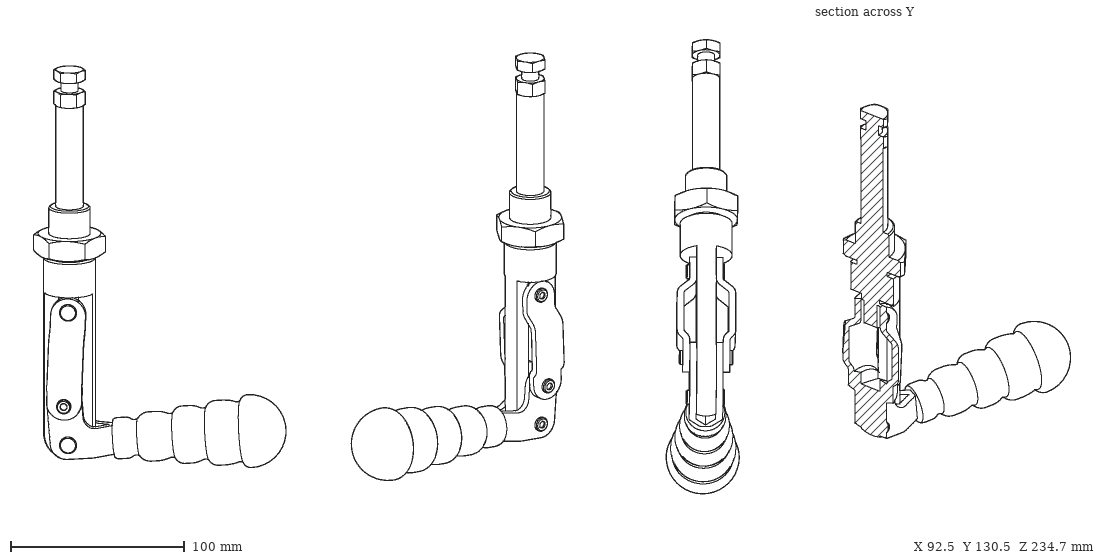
import cadquery as cq
import math

SWING = -29.0

TOTAL_HEIGHT = 234.8
HEX_ACROSS_FLATS = 16.0
HEAD_BOTTOM = 228.5
SHANK_DIAMETER = 9.9
JAM_NUT_TOP = 222.1
JAM_NUT_BOTTOM = 213.7
PLUNGER_DIAMETER = 16.0
PLUNGER_BOTTOM = 98.2
PLUNGER_FLATS = 11.0
TONGUE_WIDTH = 8.0
SMALL_HEX_CHAMFER = 0.5
HEX_HALF_SECTOR = 30

NECK_DIAMETER = 24.0
NECK_TOP = 153.0
NECK_CHAMFER = 1.0
NUT_ACROSS_FLATS = 36.2
NUT_TOP = 137.0
NUT_BOTTOM = 125.0
NUT_CHAMFER = 1.5
UNDERCUT_DIAMETER = 21.5
COLLAR_DIAMETER = 30.0
COLLAR_TOP = 122.3
COLLAR_BOTTOM = 102.4
WEB_WIDTH = 11.3
BODY_BOTTOM = 2.5

SPINDLE_JOINT = (0, 92.0)
LINK_JOINT = (-2.0, 37.0)
PIVOT = (0, 13.0)

SHEET = 4.0
BEND_RADIUS = 1.9
LINK_END_RADIUS = 10.0
LINK_END_OFFSET = 1.9
LINK_UPPER_FACE = WEB_WIDTH / 2 + SHEET
LINK_MIDDLE_FACE = 17.0
LINK_LOWER_FACE = LINK_UPPER_FACE + SHEET
UPPER_CRANK = (82.7, 76.3)
LOWER_CRANK = (48.0, 44.4)

HANDLE_TILT = 4.5
ARM_HEIGHT = 17.1
PLATE_FRONT = -10.3
PLATE_CORNER_RADIUS = 9.5
LOBE_RADIUS = 10.0
LOBE_HEIGHT = 23.0
ARM_FILLET = 7.5
PRONG_BEND = 13.1
PRONG_ANGLE = 28.6

GRIP_START = 26.0
GRIP_FACE_RADIUS = 11.3
RIDGES = [(31.0, 12.0), (48.8, 14.3), (68.5, 16.7), (88.0, 18.8)]
CREST_HALF_WIDTH = 2.3
VALLEYS = [(38.3, 10.3), (59.0, 12.7), (78.2, 14.8), (98.2, 17.4)]
VALLEY_HALF_WIDTH = 1.9
VALLEY_DEPTH = 0.5
BALL_CENTRE = 104.5
BALL_RADIUS = 21.1

HEAD_DIAMETER = 9.9
HEAD_HEIGHT = 1.0
TAIL_DIAMETER = 8.2
TAIL_HEIGHT = 1.9
DIMPLE_DIAMETER = 4.0
DIMPLE_DEPTH = 1.2
RIVET_CHAMFER = 0.59


def cylinder(diameter, bottom, top):
    return cq.Workplane("XY").workplane(offset=bottom).circle(diameter / 2).extrude(top - bottom)


def hexagon(across_flats, bottom, top, chamfer):
    """Hexagon with two flats square to X and its corners turned down at both ends."""
    across_corners = across_flats / math.cos(math.radians(HEX_HALF_SECTOR))
    prism = (
        cq.Workplane("XY")
        .workplane(offset=bottom)
        .polygon(6, across_corners)
        .extrude(top - bottom)
        .rotate((0, 0, 0), (0, 0, 1), HEX_HALF_SECTOR)
    )
    inset = (across_corners - across_flats) / 2
    turned = cylinder(across_corners, bottom, top).faces("<Z or >Z").chamfer(chamfer, inset)
    return prism.intersect(turned)


def make_spindle():
    head = hexagon(HEX_ACROSS_FLATS, HEAD_BOTTOM, TOTAL_HEIGHT, SMALL_HEX_CHAMFER)
    shank = cylinder(SHANK_DIAMETER, JAM_NUT_TOP, HEAD_BOTTOM)
    jam_nut = hexagon(HEX_ACROSS_FLATS, JAM_NUT_BOTTOM, JAM_NUT_TOP, SMALL_HEX_CHAMFER)
    plunger = cylinder(PLUNGER_DIAMETER, COLLAR_BOTTOM, JAM_NUT_BOTTOM)
    flats = cylinder(PLUNGER_DIAMETER, PLUNGER_BOTTOM, COLLAR_BOTTOM).intersect(slab(PLUNGER_FLATS))
    tongue_bottom = SPINDLE_JOINT[1] - LINK_END_RADIUS
    tongue = cylinder(PLUNGER_DIAMETER, tongue_bottom, PLUNGER_BOTTOM).intersect(slab(TONGUE_WIDTH))
    return plunger.union(flats).union(tongue).union(jam_nut).union(shank).union(head)


def slab(width):
    """Upright slab below the collar, centred on the axis."""
    return cq.Workplane("XY").box(width, COLLAR_DIAMETER, COLLAR_BOTTOM, centered=(True, True, False))


def make_body():
    neck = cylinder(NECK_DIAMETER, NUT_BOTTOM, NECK_TOP).faces(">Z").chamfer(NECK_CHAMFER)
    nut = hexagon(NUT_ACROSS_FLATS, NUT_BOTTOM, NUT_TOP, NUT_CHAMFER)
    undercut = cylinder(UNDERCUT_DIAMETER, COLLAR_TOP, NUT_BOTTOM)
    collar = cylinder(COLLAR_DIAMETER, COLLAR_BOTTOM, COLLAR_TOP)

    ball_centre = BODY_BOTTOM + COLLAR_DIAMETER / 2
    ball = cq.Workplane("XY").sphere(COLLAR_DIAMETER / 2).translate((0, 0, ball_centre))
    bar = cylinder(COLLAR_DIAMETER, ball_centre, COLLAR_BOTTOM).union(ball)
    bore = cylinder(PLUNGER_DIAMETER, LINK_JOINT[1], COLLAR_BOTTOM)
    web = bar.intersect(slab(WEB_WIDTH)).cut(bore)
    return web.union(collar).union(undercut).union(neck).union(nut)


def round_bend(sheet, direction, point, radius):
    """Rounds the edge along a direction that lies nearest to a point."""
    corner = cq.selectors.NearestToPointSelector(point)
    return sheet.edges(direction).edges(corner).fillet(radius)


def make_link():
    """Link on the +X side: sheet cranked outwards, with round ends, leaning from joint to joint."""
    run = SPINDLE_JOINT[0] - LINK_JOINT[0]
    rise = SPINDLE_JOINT[1] - LINK_JOINT[1]
    length = math.hypot(run, rise)
    top_y, top_z = SPINDLE_JOINT
    sheet_top = top_z - LINK_END_OFFSET + LINK_END_RADIUS
    sheet_bottom = top_z - length + LINK_END_OFFSET - LINK_END_RADIUS

    upper_bend = math.atan2(LINK_MIDDLE_FACE - LINK_UPPER_FACE, UPPER_CRANK[0] - UPPER_CRANK[1])
    lower_bend = math.atan2(LINK_MIDDLE_FACE - LINK_LOWER_FACE, LOWER_CRANK[0] - LOWER_CRANK[1])
    upper_shift = SHEET * math.tan(upper_bend / 2)
    lower_shift = SHEET * math.tan(lower_bend / 2)
    cranks = [
        (LINK_UPPER_FACE, UPPER_CRANK[0], -upper_shift),
        (LINK_MIDDLE_FACE, UPPER_CRANK[1], -upper_shift),
        (LINK_MIDDLE_FACE, LOWER_CRANK[0], lower_shift),
        (LINK_LOWER_FACE, LOWER_CRANK[1], lower_shift),
    ]
    outer = [(LINK_UPPER_FACE, sheet_top)]
    outer += [(x, z) for x, z, _ in cranks]
    outer += [(LINK_LOWER_FACE, sheet_bottom)]
    inner = [(LINK_UPPER_FACE - SHEET, sheet_top)]
    inner += [(x - SHEET, z + shift) for x, z, shift in cranks]
    inner += [(LINK_LOWER_FACE - SHEET, sheet_bottom)]
    sheet = cq.Workplane("XZ").polyline(outer + inner[::-1]).close().extrude(LINK_END_RADIUS, both=True)
    for x, z, shift in cranks:
        bulges_out = x == LINK_MIDDLE_FACE
        outer_radius = BEND_RADIUS + SHEET if bulges_out else BEND_RADIUS
        inner_radius = BEND_RADIUS if bulges_out else BEND_RADIUS + SHEET
        sheet = round_bend(sheet, "|Y", (x, 0, z), outer_radius)
        sheet = round_bend(sheet, "|Y", (x - SHEET, 0, z + shift), inner_radius)
    outline = (
        cq.Workplane("YZ")
        .center(0, (sheet_top + sheet_bottom) / 2)
        .slot2D(sheet_top - sheet_bottom, 2 * LINK_END_RADIUS, 90)
        .extrude(COLLAR_DIAMETER)
    )
    lean = math.degrees(math.atan2(run, rise))
    return (
        sheet.intersect(outline)
        .translate((0, top_y, 0))
        .rotate((0, top_y, top_z), (1, top_y, top_z), -lean)
    )


def place_on_handle(shape):
    """Moves a shape built round the origin to the pivot and tilts it with the handle."""
    return shape.rotate((0, 0, 0), (1, 0, 0), HANDLE_TILT).translate((0, *PIVOT))


def make_handle_side():
    """Handle plate on the +X side, with the prong that turns in to the grip."""
    half = ARM_HEIGHT / 2
    lobe_back = PLATE_FRONT + 2 * LOBE_RADIUS
    outline = (
        cq.Workplane("YZ")
        .moveTo(GRIP_START, -half)
        .lineTo(PLATE_FRONT + PLATE_CORNER_RADIUS, -half)
        .radiusArc((PLATE_FRONT, PLATE_CORNER_RADIUS - half), PLATE_CORNER_RADIUS)
        .lineTo(PLATE_FRONT, LOBE_HEIGHT)
        .radiusArc((lobe_back, LOBE_HEIGHT), LOBE_RADIUS)
        .lineTo(lobe_back, half + ARM_FILLET)
        .radiusArc((lobe_back + ARM_FILLET, half), -ARM_FILLET)
        .lineTo(GRIP_START, half)
        .close()
        .extrude(COLLAR_DIAMETER, both=True)
    )
    bend = math.radians(PRONG_ANGLE)
    inner_x = WEB_WIDTH / 2
    outer_x = inner_x + SHEET
    outer_bend = PRONG_BEND + SHEET * math.tan(bend / 2)
    sheet = (
        cq.Workplane("XY")
        .workplane(offset=-half)
        .polyline([
            (inner_x, PLATE_FRONT),
            (outer_x, PLATE_FRONT),
            (outer_x, outer_bend),
            (outer_x - (GRIP_START - outer_bend) * math.tan(bend), GRIP_START),
            (inner_x - (GRIP_START - PRONG_BEND) * math.tan(bend), GRIP_START),
            (inner_x, PRONG_BEND),
        ])
        .close()
        .extrude(half + LOBE_HEIGHT + LOBE_RADIUS)
    )
    middle_z = (LOBE_HEIGHT + LOBE_RADIUS - half) / 2
    sheet = round_bend(sheet, "|Z", (outer_x, outer_bend, middle_z), BEND_RADIUS + SHEET)
    sheet = round_bend(sheet, "|Z", (inner_x, PRONG_BEND, middle_z), BEND_RADIUS)
    return place_on_handle(sheet.intersect(outline))


def make_rivet_head(face, joint):
    """Plain low head standing on the face at the +X side of a joint."""
    return (
        cq.Workplane("YZ")
        .workplane(offset=face)
        .center(*joint)
        .circle(HEAD_DIAMETER / 2)
        .extrude(HEAD_HEIGHT)
        .faces(">X")
        .chamfer(RIVET_CHAMFER)
    )


def make_rivet_tail(face, joint):
    """Dimpled rivet end standing on the +X side of a joint."""
    return (
        cq.Workplane("YZ")
        .workplane(offset=face)
        .center(*joint)
        .circle(TAIL_DIAMETER / 2)
        .extrude(TAIL_HEIGHT)
        .faces(">X")
        .chamfer(RIVET_CHAMFER)
        .faces(">X")
        .workplane()
        .hole(DIMPLE_DIAMETER, DIMPLE_DEPTH)
    )


def make_clamp():
    clamp = make_body().union(make_spindle())
    link = make_link()
    handle_side = make_handle_side()
    link_tail = make_rivet_tail(LINK_LOWER_FACE, LINK_JOINT)
    for part in (link, handle_side, link_tail):
        clamp = clamp.union(part).union(part.mirror("YZ"))
    for joint in (SPINDLE_JOINT, PIVOT):
        clamp = clamp.union(make_rivet_head(LINK_UPPER_FACE, joint))
        clamp = clamp.union(make_rivet_tail(LINK_UPPER_FACE, joint).mirror("YZ"))
    return clamp


def crest_arc(profile, start, end, crest):
    """Adds an arc that runs along the grip where it meets the crest, which is its start or its end."""
    foot = end if crest == start else start
    run = foot[1] - crest[1]
    drop = crest[0] - foot[0]
    radius = (run**2 + drop**2) / (2 * drop)
    half_angle = math.asin(run / radius) / 2
    middle = (
        crest[0] - radius * (1 - math.cos(half_angle)),
        crest[1] + radius * math.sin(half_angle),
    )
    return profile.threePointArc(middle, end)


def make_grip():
    """Turned grip: rounded ridges parted by hollow valleys, ending in a ball."""
    start = (GRIP_FACE_RADIUS, GRIP_START)
    profile = cq.Workplane("XY").moveTo(0, GRIP_START).lineTo(*start)
    for (ridge, ridge_radius), (valley, valley_radius) in zip(RIDGES, VALLEYS):
        near_crest = (ridge_radius, ridge - CREST_HALF_WIDTH)
        far_crest = (ridge_radius, ridge + CREST_HALF_WIDTH)
        lip_radius = valley_radius + VALLEY_DEPTH
        near_lip = (lip_radius, valley - VALLEY_HALF_WIDTH)
        far_lip = (lip_radius, valley + VALLEY_HALF_WIDTH)
        profile = crest_arc(profile, start, near_crest, near_crest).lineTo(*far_crest)
        profile = crest_arc(profile, far_crest, near_lip, far_crest)
        profile = profile.threePointArc((valley_radius, valley), far_lip)
        start = far_lip
    equator = (BALL_RADIUS, BALL_CENTRE)
    tip = (0, BALL_CENTRE + BALL_RADIUS)
    profile = crest_arc(profile, start, equator, equator)
    profile = crest_arc(profile, equator, tip, equator).close()
    return place_on_handle(profile.revolve(360, (0, 0, 0), (0, 1, 0)))


def swing(shape):
    return shape.rotate((0, 0, 0), (0, 0, 1), SWING)


clamp = swing(make_clamp())
grip = swing(make_grip())

result = cq.Compound.makeCompound([clamp.solids().val(), grip.val()])